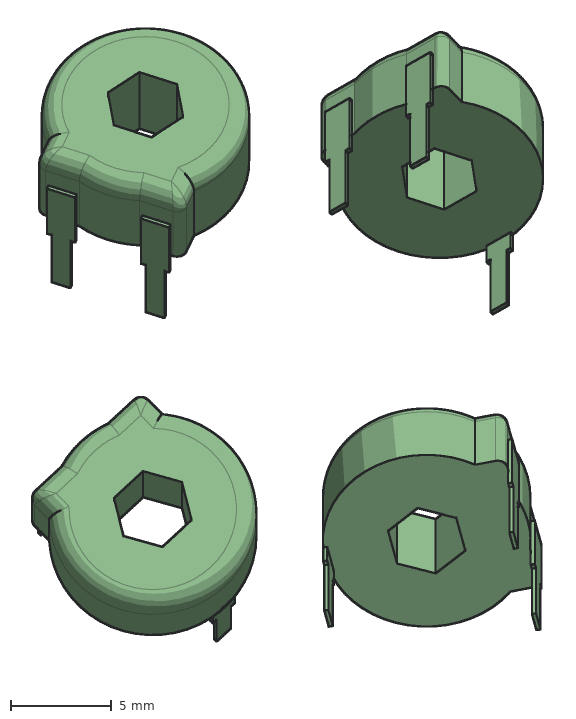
import cadquery as cq
import math

drum_radius = 5.15
housing_height = 4.81
top_round = 1.0
block_width = 7.8
block_front = 4.89
block_corner_radius = 0.5
hex_across_flats = 3.47

pin_thickness = 0.21
pin_wide = 1.5
pin_narrow = 1.0
pin_offset = 2.5
pin_length_below = 5.2
shoulder_depth = 1.2
front_pin_top = 2.62
rear_pin_top = 0.0
rear_pin_inset = 0.05


def make_drum():
    drum = cq.Workplane("XY").circle(drum_radius).extrude(housing_height)
    return drum.faces(">Z").edges().fillet(top_round)


def make_block():
    """Block from the drum axis to the flat front, with rounded top edges and
    front corners that taper away along the mitres of the top rounding.
    """
    block = (
        cq.Workplane("XY")
        .rect(block_width, 2 * block_front)
        .extrude(housing_height)
        .faces(">Z")
        .edges()
        .fillet(top_round)
        .edges("|Z")
        .fillet(block_corner_radius)
    )
    front_half = (
        cq.Workplane("XY")
        .center(0, -block_front / 2)
        .rect(block_width, block_front)
        .extrude(housing_height)
    )
    return block.intersect(front_half)


def make_housing():
    hex_across_corners = hex_across_flats / math.cos(math.pi / 6)
    drive_hole = cq.Workplane("XY").polygon(6, hex_across_corners).extrude(housing_height)
    return make_drum().union(make_block()).cut(drive_hole)


def make_pin(x, front_y, top_z):
    """Stepped pin centred on x, its front face at front_y and its upper end at top_z."""
    wide = pin_wide / 2
    narrow = pin_narrow / 2
    right_side = [
        (wide, top_z),
        (wide, -shoulder_depth),
        (narrow, -shoulder_depth),
        (narrow, -pin_length_below),
    ]
    left_side = [(-px, pz) for px, pz in reversed(right_side)]
    return (
        cq.Workplane("XZ", origin=(x, front_y, 0))
        .polyline(right_side + left_side)
        .close()
        .extrude(-pin_thickness)
    )


housing = make_housing()
front_pins = [
    make_pin(x, -block_front - pin_thickness, front_pin_top)
    for x in (-pin_offset, pin_offset)
]
rear_pin = make_pin(0, drum_radius - rear_pin_inset - pin_thickness, rear_pin_top)

result = cq.Compound.makeCompound(
    [housing.val(), *[pin.val() for pin in front_pins], rear_pin.val()]
)